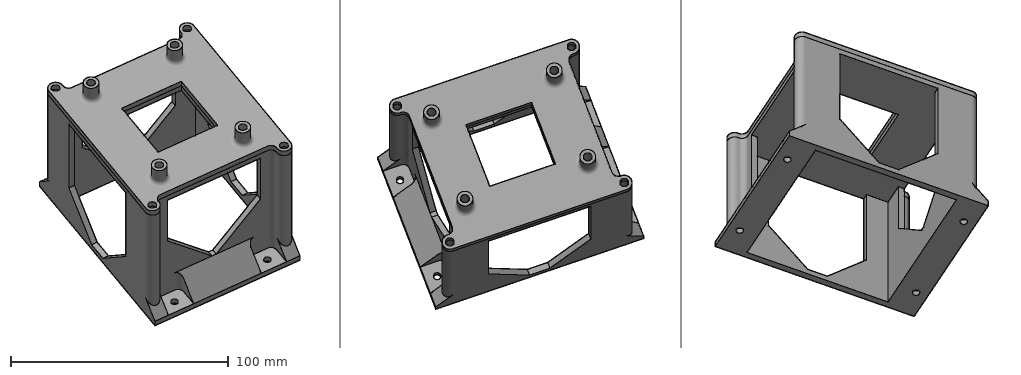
import cadquery as cq

length = 101.6
width = 78.0
total_height = 81.5
plate_top = 72.5
thickness = 3.0
corner_round = 3.0

post_diameter = 7.2
post_hole_diameter = 4.0
post_hole_depth = 10.2
post_x = 42.6
wall_x = 39.0

foot_hole_diameter = 3.4
foot_hole_x = 45.0
foot_hole_y = 25.0

window_width = 50.0
end_window_floor_width = 10.0
left_window_floor_width = 15.3
right_window_floor_width = 2.2
vent_size = 32.0

standoff_diameter = 7.2
standoff_hole_diameter = 4.0
standoff_fillet = 2.0
standoff_x = 30.0
standoff_spacing_y = 45.0
standoff_offset_y = -1.5

frame_top = plate_top - thickness
deck_bottom = frame_top - thickness
post_y = (width - post_diameter) / 2
recess_half_width = width / 2 - post_diameter
pocket_width = 2 * (recess_half_width - foot_hole_y)
flange_width = length / 2 - wall_x
ramp_top = thickness + flange_width
cavity_x = 2 * (wall_x - thickness)
cavity_y = width - 2 * thickness
standoff_y = [standoff_offset_y + side * standoff_spacing_y / 2 for side in (-1, 1)]

post_places = [(sx * post_x, sy * post_y) for sx in (-1, 1) for sy in (-1, 1)]
foot_places = [(sx * foot_hole_x, sy * foot_hole_y) for sx in (-1, 1) for sy in (-1, 1)]
standoff_places = [(sx * standoff_x, y) for sx in (-1, 1) for y in standoff_y]


def block(x_size, y_size, z_low, z_high, x=0.0, y=0.0):
    """Box centred on (x, y) between two heights."""
    return cq.Workplane("XY", origin=(x, y, z_low)).rect(x_size, y_size).extrude(z_high - z_low)


def cylinders(places, diameter, z_low, z_high):
    """Vertical cylinders at several places between two heights."""
    base = cq.Workplane("XY", origin=(0, 0, z_low)).pushPoints(places)
    return base.circle(diameter / 2).extrude(z_high - z_low)


def side_recess(side, y_size, z_low, z_high, y=0.0):
    """Cutter reaching in from one X side to the side wall, with rounded inner corners."""
    recess = block(2 * flange_width, y_size, z_low, z_high, x=side * (wall_x + flange_width), y=y)
    return recess.edges("|Z").fillet(corner_round)


def outline_slab(z_low, z_high):
    """Slab with round-ended corner lugs and a recess with rounded inner corners on each X side."""
    slab = block(2 * post_x, width, z_low, z_high)
    for side in (-1, 1):
        slab = slab.cut(side_recess(side, 2 * recess_half_width, z_low, z_high))
    return slab.union(cylinders(post_places, post_diameter, z_low, z_high))


def vent(z_low, z_high):
    """Cutter for the central square opening."""
    return block(vent_size, vent_size, z_low, z_high)


def window_outline(plane, floor_width, floor_z):
    """Window with a flat head, upright jambs and 45-degree shoulders down to a flat floor."""
    shoulder_z = floor_z + (window_width - floor_width) / 2
    outline = [
        (-window_width / 2, deck_bottom),
        (window_width / 2, deck_bottom),
        (window_width / 2, shoulder_z),
        (floor_width / 2, floor_z),
        (-floor_width / 2, floor_z),
        (-window_width / 2, shoulder_z),
    ]
    return plane.polyline(outline).close()


def foot_flanges():
    """Full-width foot with 45-degree ramps leaning against both side walls."""
    profile = [
        (-length / 2, 0),
        (length / 2, 0),
        (length / 2, thickness),
        (wall_x, ramp_top),
        (-wall_x, ramp_top),
        (-length / 2, thickness),
    ]
    return cq.Workplane("XZ").polyline(profile).close().extrude(width / 2, both=True)


def build_frame():
    """Open-bottomed box with corner posts, foot flanges and a window in every wall."""
    frame = outline_slab(0, frame_top).union(foot_flanges())
    frame = frame.cut(block(cavity_x, cavity_y, 0, deck_bottom))

    for side in (-1, 1):
        for hole_y in (-foot_hole_y, foot_hole_y):
            frame = frame.cut(side_recess(side, pocket_width, thickness, ramp_top, y=hole_y))
    frame = frame.cut(cylinders(foot_places, foot_hole_diameter, 0, thickness))

    frame = frame.cut(cylinders(post_places, post_hole_diameter, frame_top - post_hole_depth, frame_top))
    frame = frame.cut(vent(deck_bottom, frame_top))

    end_window = window_outline(cq.Workplane("XZ"), end_window_floor_width, thickness)
    frame = frame.cut(end_window.extrude(width / 2, both=True))

    right_window = window_outline(cq.Workplane("YZ"), right_window_floor_width, ramp_top)
    frame = frame.cut(right_window.extrude(length / 2))

    left_window = window_outline(cq.Workplane("YZ"), left_window_floor_width, ramp_top)
    frame = frame.cut(left_window.extrude(-length / 2))
    ramp_gap = block(length / 2, left_window_floor_width, thickness, ramp_top, x=-length / 4)
    return frame.cut(ramp_gap)


def build_plate():
    """Cover plate with four filleted tubular standoffs."""
    plate = outline_slab(frame_top, plate_top)
    plate = plate.union(cylinders(standoff_places, standoff_diameter, plate_top, total_height))
    for x, y in standoff_places:
        base_edge = cq.selectors.BoxSelector(
            (x - standoff_diameter, y - standoff_diameter, plate_top - thickness / 2),
            (x + standoff_diameter, y + standoff_diameter, plate_top + thickness / 2),
        )
        plate = plate.edges(base_edge).fillet(standoff_fillet)
    plate = plate.cut(cylinders(standoff_places, standoff_hole_diameter, frame_top, total_height))
    plate = plate.cut(cylinders(post_places, post_hole_diameter, frame_top, plate_top))
    return plate.cut(vent(frame_top, plate_top))


frame = build_frame()
plate = build_plate()
result = cq.Compound.makeCompound([frame.val(), plate.val()])